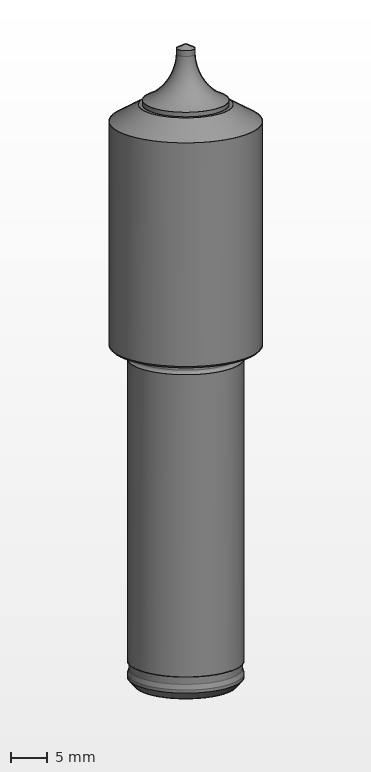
import cadquery as cq

total_height = 91.5
body_radius = 10.5
shank_diameter = 16.0
shank_radius = shank_diameter / 2
neck_radius = 7.5
groove_radius = 7.8
foot_radius = 7.0
seat_radius = 6.5
collar_radius = 5.95
tip_radius = 1.3

foot_chamfer_top = 1.1
foot_land_top = 1.6
groove_bottom = 2.3
groove_top = 3.4
shank_top = 46.6
neck_bottom = shank_top + shank_radius - neck_radius
body_bottom = 48.2
body_chamfer = 0.3
body_top = 80.4
seat_height = 82.8
collar_top = 83.45
tip_bottom = 90.0
tip_rim = 90.9

flare_mid_radius = 2.7
flare_mid_height = 85.9


def half_profile():
    """Return the closed radial outline, from the foot up to the tip."""
    return (
        cq.Workplane("XZ")
        .moveTo(0, 0)
        .lineTo(foot_radius, 0)
        .lineTo(shank_radius, foot_chamfer_top)
        .lineTo(shank_radius, foot_land_top)
        .lineTo(groove_radius, groove_bottom)
        .lineTo(groove_radius, groove_top)
        .lineTo(shank_radius, groove_top)
        .lineTo(shank_radius, shank_top)
        .radiusArc((neck_radius, neck_bottom), shank_radius - neck_radius)
        .lineTo(neck_radius, body_bottom)
        .lineTo(body_radius - body_chamfer, body_bottom)
        .lineTo(body_radius, body_bottom + body_chamfer)
        .lineTo(body_radius, body_top)
        .lineTo(seat_radius, seat_height)
        .lineTo(collar_radius, seat_height)
        .lineTo(collar_radius, collar_top)
        .threePointArc((flare_mid_radius, flare_mid_height), (tip_radius, tip_bottom))
        .lineTo(tip_radius, tip_rim)
        .lineTo(0, total_height)
        .close()
    )


result = half_profile().revolve(360, (0, 0, 0), (0, 1, 0))